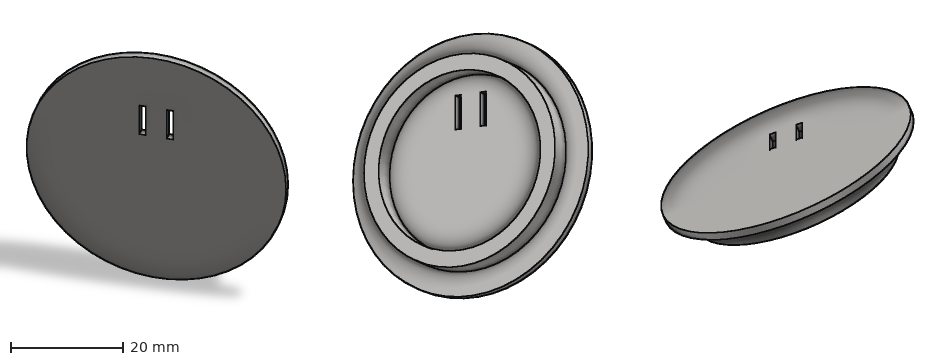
import cadquery as cq

flange_diameter = 48.0
flange_thickness = 1.5

total_depth = 5.5
ring_outer_diameter = 39.0
ring_inner_diameter = 33.0
ring_height = total_depth - flange_thickness

slot_width = 1.15
slot_height = 6.25
slot_spacing = 5.1
slot_center_z = 10.05


def make_flange():
    """Flat disc with its outer face at Y = 0, growing toward +Y."""
    return cq.Workplane("XZ").circle(flange_diameter / 2).extrude(-flange_thickness)


def make_ring():
    """Locating ring standing on the back face of the flange."""
    return (
        cq.Workplane("XZ", origin=(0, flange_thickness, 0))
        .circle(ring_outer_diameter / 2)
        .circle(ring_inner_diameter / 2)
        .extrude(-ring_height)
    )


def make_slots():
    """Cutters for the two slots, placed symmetrically about X = 0."""
    return (
        cq.Workplane("XZ")
        .pushPoints([(side * slot_spacing / 2, slot_center_z) for side in (-1, 1)])
        .rect(slot_width, slot_height)
        .extrude(-flange_thickness)
    )


result = make_flange().union(make_ring()).cut(make_slots())